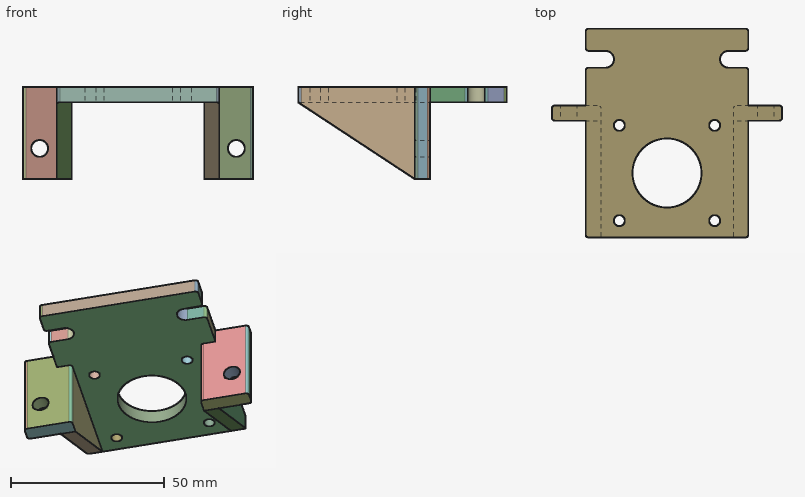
import cadquery as cq

plate_width = 53.0
plate_length = 68.0
plate_thickness = 5.0
corner_radius = 1.0

overall_width = 75.0
overall_height = 30.0
ear_thickness = 5.0
ear_back_setback = 25.0
gusset_thickness = 5.0
ear_hole_diameter = 5.4
ear_hole_spacing = 64.0
ear_hole_height = 10.0

motor_center_from_front = 21.0
pilot_diameter = 22.4
screw_diameter = 3.5
screw_spacing = 31.0

slot_width = 5.4
slot_depth = 9.2
slot_center_from_back = 10.0

plate_bottom = overall_height - plate_thickness
ear_back = plate_length - ear_back_setback
ear_front = ear_back - ear_thickness
slot_y = plate_length - slot_center_from_back


def box_between(x_range, y_range, z_range):
    """Box spanning the given (low, high) range along each axis."""
    low, high = zip(x_range, y_range, z_range)
    size = [top - bottom for bottom, top in zip(low, high)]
    return cq.Workplane("XY").box(*size, centered=False).translate(low)


def make_slot(side):
    """Round-ended cutter open toward the plate edge on the given side (-1 or +1)."""
    round_x = side * (plate_width / 2 - slot_depth + slot_width / 2)
    edge_x = side * plate_width / 2
    base = cq.Workplane("XY").workplane(offset=plate_bottom)
    round_end = base.center(round_x, slot_y).circle(slot_width / 2).extrude(plate_thickness)
    channel = box_between(
        sorted((round_x, edge_x)),
        (slot_y - slot_width / 2, slot_y + slot_width / 2),
        (plate_bottom, overall_height),
    )
    return channel.union(round_end)


def make_gusset(side):
    """Side wall tapering from the ear's full height to the plate's front edge."""
    outer_x = side * plate_width / 2
    inner_x = outer_x - side * gusset_thickness
    return (
        cq.Workplane("YZ")
        .workplane(offset=min(outer_x, inner_x))
        .moveTo(0, overall_height)
        .lineTo(0, plate_bottom)
        .lineTo(ear_front, 0)
        .lineTo(ear_front, overall_height)
        .close()
        .extrude(gusset_thickness)
    )


def make_ear(side):
    """Full-height ear from the gusset's inner face outward, with rounded back and outer edges."""
    inner_x = side * (plate_width / 2 - gusset_thickness)
    outer_x = side * overall_width / 2
    ear = box_between(sorted((inner_x, outer_x)), (ear_front, ear_back), (0, overall_height))
    outer_edges = ">X" if side > 0 else "<X"
    return ear.edges(f"|Z and ({outer_edges} or >Y)").fillet(corner_radius)


def is_outline_corner(edge):
    """True for an upright edge at a plate corner or a slot mouth."""
    center = edge.Center()
    on_side = abs(center.x) > plate_width / 2 - corner_radius
    return on_side and (center.y > ear_back or center.y < corner_radius)


def make_bracket():
    """Plate, gussets and ears, with the plate's outer corners and slot mouths rounded."""
    half_width = plate_width / 2
    body = box_between((-half_width, half_width), (0, plate_length), (plate_bottom, overall_height))
    for side in (-1, 1):
        body = body.union(make_gusset(side)).cut(make_slot(side))
    rounded_edges = body.edges("|Z").filter(is_outline_corner)
    body = rounded_edges.fillet(corner_radius)
    for side in (-1, 1):
        body = body.union(make_ear(side))
    return body


def cut_motor_holes(body):
    """Pilot bore and the square pattern of screw holes through the plate."""
    top = cq.Workplane("XY").workplane(offset=plate_bottom).center(0, motor_center_from_front)
    pilot = top.circle(pilot_diameter / 2).extrude(plate_thickness)
    screws = (
        top.rect(screw_spacing, screw_spacing, forConstruction=True)
        .vertices()
        .circle(screw_diameter / 2)
        .extrude(plate_thickness)
    )
    return body.cut(pilot).cut(screws)


def cut_ear_holes(body):
    """One through hole along Y in each ear."""
    holes = (
        cq.Workplane("XZ", origin=(0, ear_back, ear_hole_height))
        .pushPoints([(-ear_hole_spacing / 2, 0), (ear_hole_spacing / 2, 0)])
        .circle(ear_hole_diameter / 2)
        .extrude(ear_thickness)
    )
    return body.cut(holes)


result = cut_ear_holes(cut_motor_holes(make_bracket()))